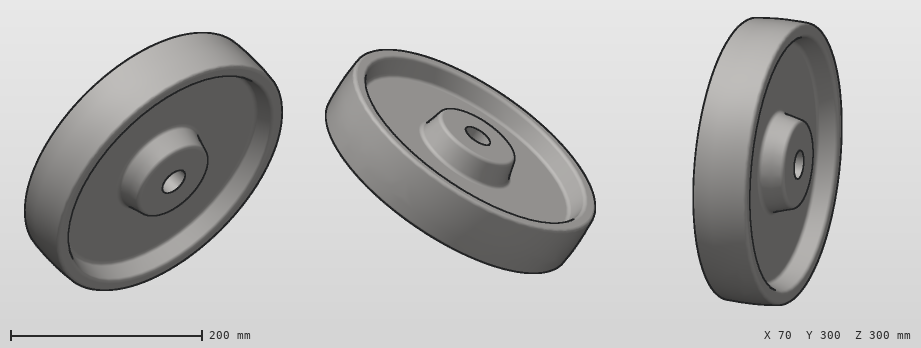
import cadquery as cq
import math

wheel_radius = 150.0
rim_width = 60.0
rim_edge_radius = 148.5
hub_length = 70.0
web_thickness = 18.0
bore_radius = 15.0
hub_draft_angle = 15.0
rim_draft_angle = 18.0
hub_face_radius = 46.2
rim_mouth_radius = 134.5
wall_round = 4.5
tread_round = 4.0

half_rim = rim_width / 2
half_hub = hub_length / 2
half_web = web_thickness / 2

hub_spread = (half_hub - half_web) * math.tan(math.radians(hub_draft_angle))
rim_spread = (half_rim - half_web) * math.tan(math.radians(rim_draft_angle))
hub_root_radius = hub_face_radius + hub_spread
rim_root_radius = rim_mouth_radius - rim_spread


def half_section_corners():
    """Section corners (axial, radial) on the +X side, from hub to tread."""
    return [
        (half_hub, 0),
        (half_hub, hub_face_radius),
        (half_web, hub_root_radius),
        (half_web, rim_root_radius),
        (half_rim, rim_mouth_radius),
        (half_rim, rim_edge_radius),
    ]


def wheel_blank():
    """Revolve the full section, with a crowned tread, about the X axis."""
    right_side = half_section_corners()
    left_side = [(-axial, radial) for axial, radial in reversed(right_side)]
    section = (
        cq.Workplane("XY")
        .polyline(right_side)
        .threePointArc((0, wheel_radius), left_side[0])
    )
    for corner in left_side[1:]:
        section = section.lineTo(*corner)
    return section.close().revolve(360, (0, 0, 0), (1, 0, 0))


def round_corners(wheel):
    """Round the ends of the conical walls, then the two tread corners."""
    wheel = wheel.faces("%CONE").edges("%CIRCLE").fillet(wall_round)
    tread_corners = cq.selectors.RadiusNthSelector(-1)
    return wheel.faces("|X").edges("%CIRCLE").edges(tread_corners).fillet(tread_round)


def bore():
    return cq.Workplane("YZ").circle(bore_radius).extrude(half_hub, both=True)


result = round_corners(wheel_blank()).cut(bore())